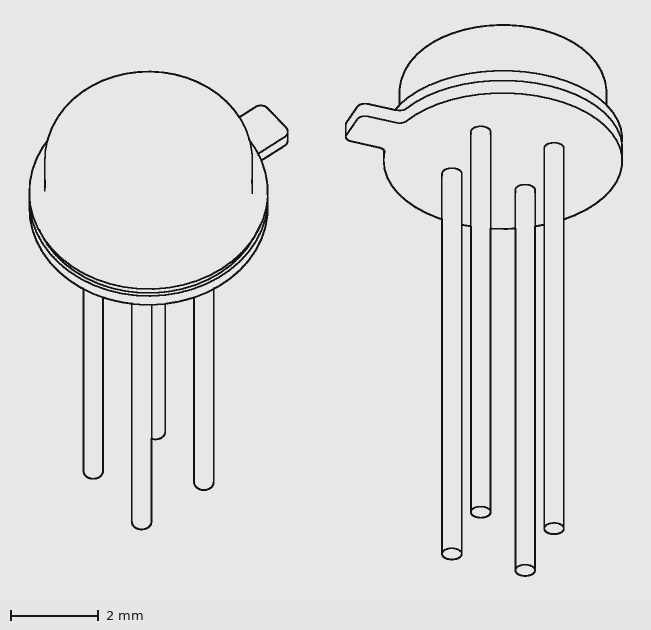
import cadquery as cq

total_height = 12.91
lead_length = 10.53
base_thickness = 0.35
flange_thickness = 0.27
base_top = lead_length + base_thickness
flange_top = base_top + flange_thickness

base_radius = 2.718
tab_width = 1.07
tab_reach = 3.699
tab_corner_radius = 0.2
tab_root_radius = 0.2

flange_top_radius = base_radius
flange_bottom_radius = 2.63
can_radius = 2.36
dome_radius = 0.5
can_root_radius = 0.1

lead_diameter = 0.45
lead_spacing = 1.8


def make_base():
    """Disc with a rounded tab pointing along +Y."""
    disc = cq.Workplane("XY", origin=(0, 0, lead_length)).circle(base_radius).extrude(base_thickness)
    tab = (
        cq.Workplane("XY", origin=(0, tab_reach / 2, lead_length))
        .rect(tab_width, tab_reach)
        .extrude(base_thickness)
        .edges("|Z and >Y")
        .fillet(tab_corner_radius)
    )
    root_box = cq.selectors.BoxSelector(
        (-tab_width, base_radius - tab_root_radius, lead_length),
        (tab_width, base_radius, base_top),
    )
    return disc.union(tab).edges("|Z").edges(root_box).fillet(tab_root_radius)


def make_cap():
    """Solid of revolution: tapered flange, concave root fillet, can wall and rounded top edge."""
    return (
        cq.Workplane("XZ")
        .moveTo(0, base_top)
        .lineTo(flange_bottom_radius, base_top)
        .lineTo(flange_top_radius, flange_top)
        .lineTo(can_radius + can_root_radius, flange_top)
        .radiusArc((can_radius, flange_top + can_root_radius), can_root_radius)
        .lineTo(can_radius, total_height - dome_radius)
        .radiusArc((can_radius - dome_radius, total_height), -dome_radius)
        .lineTo(0, total_height)
        .close()
        .revolve(360, (0, 0, 0), (0, 1, 0))
    )


def make_lead(x, y):
    """Round wire that ends against the underside of the base."""
    return cq.Workplane("XY", origin=(x, y, 0)).circle(lead_diameter / 2).extrude(lead_length)


base = make_base()
cap = make_cap()

half_spacing = lead_spacing / 2
leads = []
for x in (-half_spacing, half_spacing):
    for y in (-half_spacing, half_spacing):
        leads.append(make_lead(x, y).val())

result = cq.Compound.makeCompound([base.val(), cap.val(), *leads])